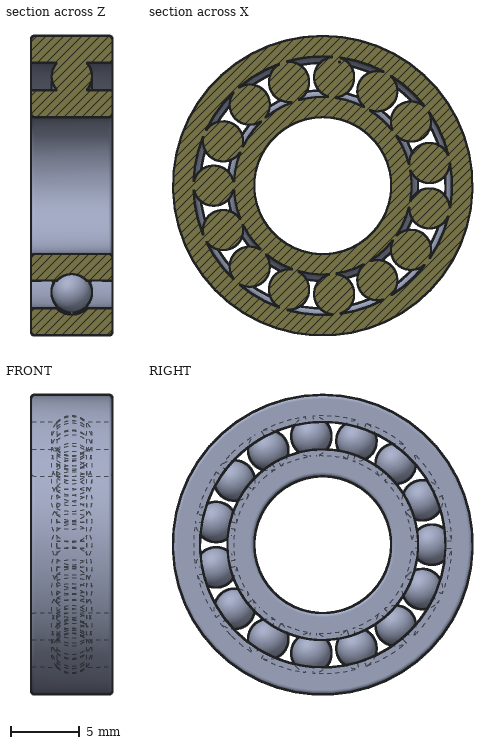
import cadquery as cq

outer_diameter = 22.0
bore_diameter = 10.0
width = 6.0
edge_radius = 0.3

inner_ring_diameter = 14.0
outer_ring_bore = 18.0

ball_count = 15
ball_diameter = 3.0
pitch_radius = (inner_ring_diameter + outer_ring_bore) / 4

ball_embedment = 0.02
raceway_radius = ball_diameter / 2 - ball_embedment


def revolve_about_axis(profile):
    """Turn a profile drawn in the XZ plane fully around the X axis."""
    return profile.revolve(360, (0, 0), (1, 0))


def ring(outside_diameter, inside_diameter):
    """Square-edged ring around the X axis."""
    wall = (outside_diameter - inside_diameter) / 2
    mean_radius = (outside_diameter + inside_diameter) / 4
    return revolve_about_axis(cq.Workplane("XZ").moveTo(0, mean_radius).rect(width, wall))


def outer_ring():
    """Outer ring with both rim edges rounded."""
    rim_edges = cq.selectors.RadiusNthSelector(-1)
    return ring(outer_diameter, outer_ring_bore).edges("%CIRCLE").edges(rim_edges).fillet(edge_radius)


def inner_ring():
    """Inner ring with both bore edges rounded."""
    bore_edges = cq.selectors.RadiusNthSelector(0)
    return ring(inner_ring_diameter, bore_diameter).edges("%CIRCLE").edges(bore_edges).fillet(edge_radius)


def raceway():
    """Torus that hollows the ball groove into both rings."""
    return revolve_about_axis(cq.Workplane("XZ").moveTo(0, pitch_radius).circle(raceway_radius))


def ball(index):
    """One ball of the row; ball 0 sits on the +Y axis."""
    turn_from_z = index * 360 / ball_count - 90
    sphere = cq.Workplane("XY").sphere(ball_diameter / 2)
    return sphere.translate((0, 0, pitch_radius)).rotate((0, 0, 0), (1, 0, 0), turn_from_z)


bearing = outer_ring().union(inner_ring()).cut(raceway())
for ball_index in range(ball_count):
    bearing = bearing.union(ball(ball_index))

result = bearing